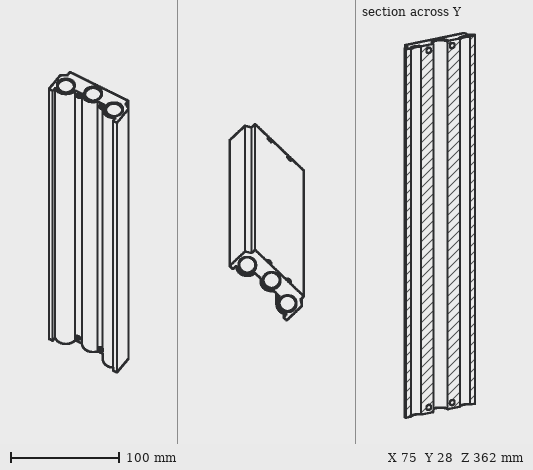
import cadquery as cq

LENGTH = 362.0
WIDTH = 75.0
DEPTH = 28.0

BACK_Y = DEPTH / 2
FRONT_Y = -DEPTH / 2
BACK_WIDTH = 64.0
SHOULDER_INNER_Y = 9.5
SHOULDER_OUTER_Y = 6.0
WEB_FRONT_Y = -2.0
LEG_THICKNESS = 4.5

TUBE_DIAMETER = 21.0
BORE_DIAMETER = 15.0
BORE_MOUTH_DIAMETER = 16.5
OUTER_TUBE_X = 26.5
OUTER_TUBE_Y = -1.8
CENTRE_TUBE_Y = 3.5
TUBE_CENTRES = [(-OUTER_TUBE_X, OUTER_TUBE_Y), (0, CENTRE_TUBE_Y), (OUTER_TUBE_X, OUTER_TUBE_Y)]

FIXING_DIAMETER = 4.7
FIXING_X = 12.5
FIXING_END_DISTANCE = 5.8


def half_body():
    """Right half of the profile without its tubes: web, sloped shoulder and leg."""
    outer_x = WIDTH / 2
    back_x = BACK_WIDTH / 2
    leg_x = outer_x - LEG_THICKNESS
    return (
        cq.Workplane("XY")
        .moveTo(0, BACK_Y)
        .lineTo(back_x, BACK_Y)
        .lineTo(back_x, SHOULDER_INNER_Y)
        .lineTo(outer_x, SHOULDER_OUTER_Y)
        .lineTo(outer_x, FRONT_Y)
        .lineTo(leg_x, FRONT_Y)
        .lineTo(leg_x, WEB_FRONT_Y)
        .lineTo(0, WEB_FRONT_Y)
        .close()
        .extrude(LENGTH)
    )


def rods(diameter):
    """Full-length cylinders on the three tube axes."""
    return cq.Workplane("XY").pushPoints(TUBE_CENTRES).circle(diameter / 2).extrude(LENGTH)


def tubes():
    """Outer cylinders of the tubes, trimmed flush with the flat back face."""
    envelope = cq.Workplane("XY").box(WIDTH, DEPTH, LENGTH, centered=(True, True, False))
    return rods(TUBE_DIAMETER).intersect(envelope)


def bore_countersinks():
    """45 degree cones that widen both ends of every bore."""
    depth = (BORE_MOUTH_DIAMETER - BORE_DIAMETER) / 2
    cones = cq.Workplane("XY")
    for x, y in TUBE_CENTRES:
        for end_z, inward in ((0, 1), (LENGTH, -1)):
            cone = cq.Solid.makeCone(
                BORE_MOUTH_DIAMETER / 2,
                BORE_DIAMETER / 2,
                depth,
                pnt=cq.Vector(x, y, end_z),
                dir=cq.Vector(0, 0, inward),
            )
            cones = cones.add(cone)
    return cones.combine()


def fixing_holes():
    """Cylinders along Y at the four fixing positions."""
    heights = (FIXING_END_DISTANCE, LENGTH - FIXING_END_DISTANCE)
    positions = [(x, z) for x in (-FIXING_X, FIXING_X) for z in heights]
    return (
        cq.Workplane("XZ")
        .pushPoints(positions)
        .circle(FIXING_DIAMETER / 2)
        .extrude(DEPTH / 2, both=True)
    )


right_half = half_body()
body = right_half.union(right_half.mirror("YZ")).union(tubes())
body = body.cut(rods(BORE_DIAMETER)).cut(bore_countersinks())
result = body.cut(fixing_holes()).solids()